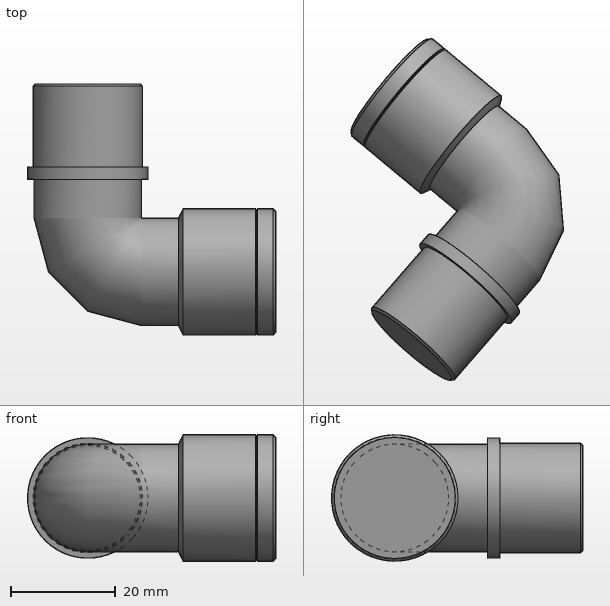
import cadquery as cq


arm_length = 36.0
pipe_radius = 20.6 / 2
bend_radius = 10.32

spigot_radius = 20.96 / 2
spigot_chamfer = 0.45
collar_radius = 23.06 / 2
collar_width = 2.4
spigot_length = 15.9

socket_radius = 24.22 / 2
socket_length = 18.65
shoulder_length = 0.92
mouth_chamfer = 0.55
groove_width = 0.4
groove_depth = 0.45
groove_lead = 0.24
groove_to_end = 3.53


def bend():
    """Quarter turn of the pipe between the two arms, turning about a Z axis."""
    return (
        cq.Workplane("XZ", origin=(0, bend_radius, 0))
        .circle(pipe_radius)
        .revolve(90, (bend_radius, 0), (bend_radius, 1))
    )


def spigot_arm():
    """Straight pipe, collar and chamfered spigot, turned about the Y axis."""
    collar_top = arm_length - spigot_length
    collar_bottom = collar_top - collar_width
    return (
        cq.Workplane("XY")
        .moveTo(0, bend_radius)
        .lineTo(pipe_radius, bend_radius)
        .lineTo(pipe_radius, collar_bottom)
        .lineTo(collar_radius, collar_bottom)
        .lineTo(collar_radius, collar_top)
        .lineTo(spigot_radius, collar_top)
        .lineTo(spigot_radius, arm_length - spigot_chamfer)
        .lineTo(spigot_radius - spigot_chamfer, arm_length)
        .lineTo(0, arm_length)
        .close()
        .revolve(360, (0, 0), (0, 1))
    )


def socket_arm():
    """Straight pipe, conical shoulder and grooved socket, turned about the X axis."""
    socket_start = arm_length - socket_length
    groove_end = arm_length - groove_to_end
    groove_start = groove_end - groove_width
    return (
        cq.Workplane("XY")
        .moveTo(bend_radius, 0)
        .lineTo(bend_radius, pipe_radius)
        .lineTo(socket_start, pipe_radius)
        .lineTo(socket_start + shoulder_length, socket_radius)
        .lineTo(groove_start, socket_radius)
        .lineTo(groove_start + groove_lead, socket_radius - groove_depth)
        .lineTo(groove_end, socket_radius)
        .lineTo(arm_length - mouth_chamfer, socket_radius)
        .lineTo(arm_length, socket_radius - mouth_chamfer)
        .lineTo(arm_length, 0)
        .close()
        .revolve(360, (0, 0), (1, 0))
    )


result = bend().union(spigot_arm()).union(socket_arm())